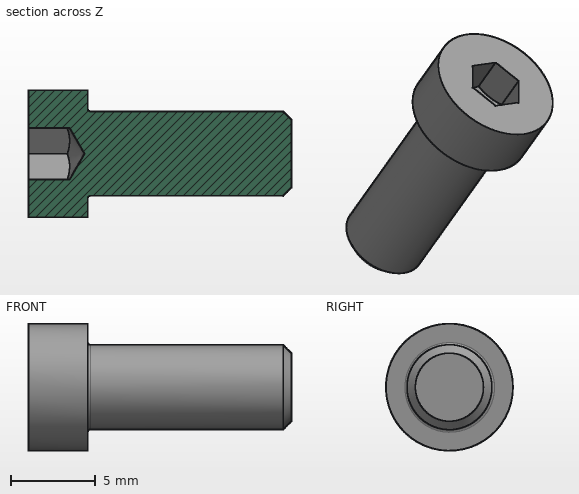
import cadquery as cq
import math

total_length = 15.5
head_diameter = 7.5
head_length = 3.5
shank_diameter = 5.0
tip_chamfer = 0.5
neck_fillet = 0.14
hex_across_flats = 3.0
hex_depth = 2.3
cone_half_angle = 60.0

head_radius = head_diameter / 2
shank_radius = shank_diameter / 2
hex_corner_radius = hex_across_flats / math.sqrt(3)
cone_depth = hex_corner_radius / math.tan(math.radians(cone_half_angle))


def make_body():
    """Revolve the half profile of head, neck fillet, shank and chamfered tip."""
    fillet_middle = neck_fillet * (1 - math.sqrt(0.5))
    profile = (
        cq.Workplane("XY")
        .lineTo(0, head_radius)
        .lineTo(head_length, head_radius)
        .lineTo(head_length, shank_radius + neck_fillet)
        .threePointArc(
            (head_length + fillet_middle, shank_radius + fillet_middle),
            (head_length + neck_fillet, shank_radius),
        )
        .lineTo(total_length - tip_chamfer, shank_radius)
        .lineTo(total_length, shank_radius - tip_chamfer)
        .lineTo(total_length, 0)
        .close()
    )
    return profile.revolve(360, (0, 0, 0), (1, 0, 0))


def make_socket():
    """Hexagonal prism with corners on +Z and -Z, ending in a conical floor."""
    corners = [
        (
            hex_corner_radius * math.sin(math.radians(60 * i)),
            hex_corner_radius * math.cos(math.radians(60 * i)),
        )
        for i in range(6)
    ]
    prism = cq.Workplane("YZ").polyline(corners).close().extrude(hex_depth + cone_depth)
    envelope = (
        cq.Workplane("XY")
        .lineTo(0, hex_corner_radius)
        .lineTo(hex_depth, hex_corner_radius)
        .lineTo(hex_depth + cone_depth, 0)
        .close()
        .revolve(360, (0, 0, 0), (1, 0, 0))
    )
    return prism.intersect(envelope)


result = make_body().cut(make_socket())